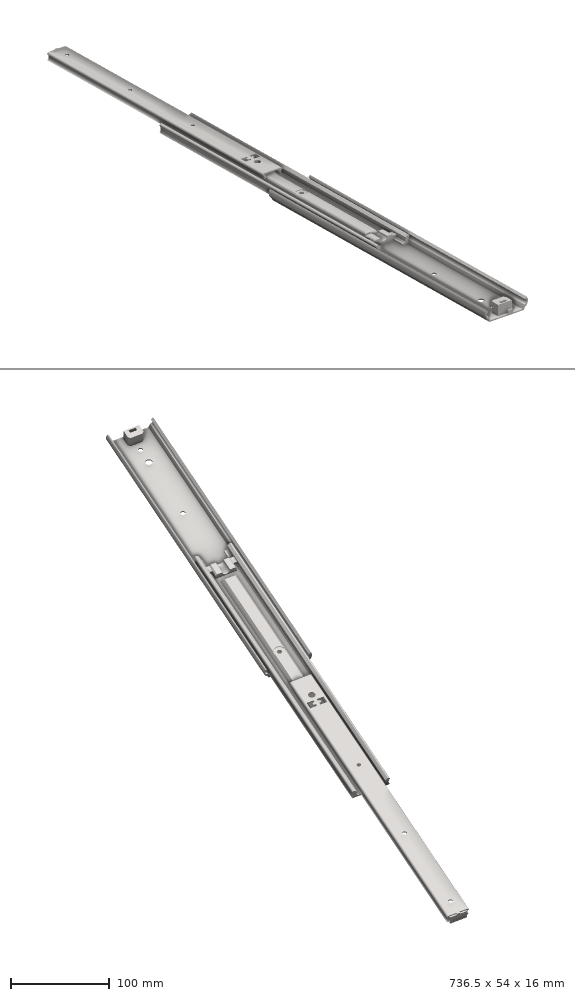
import cadquery as cq
import math

RAIL_LENGTH = 353.5
INNER_START = 1.5
MIDDLE_START = 196.0
OUTER_START = 381.5
OVERALL_LENGTH = 736.5
SHEET = 1.5

OUTER_END = OUTER_START + RAIL_LENGTH
OUTER_HALF_WIDTH = 27.0
OUTER_WEB_HALF = 22.0
OUTER_TOP = 14.0
OUTER_RACE_MID_Z = 9.0
OUTER_LIP_Y = 23.5
OUTER_LIP_Z = 12.0
OUTER_HOLES = [(616.5, 5.0), (693.0, 7.0), (711.5, 5.0)]
NUB_Y = 4.0
NUB_WIDTH = 6.0
NUB_BOTTOM = 1.0
NUB_TOP = 6.5

MIDDLE_BOTTOM = 4.0
MIDDLE_FLOOR = MIDDLE_BOTTOM + SHEET
MIDDLE_TOP = 14.0
MIDDLE_HALF_WIDTH = 21.0
MIDDLE_WALL_INSIDE = 16.0
MIDDLE_RIM_RADIUS = 2.0
MIDDLE_CUTOUT_START = 520.0
MIDDLE_CUTOUT_HALF = 12.5
PLATEAU_HEIGHT = 4.5
PLATEAU_HALF_WIDTH = 9.5
PLATEAU_TOP_HALF_WIDTH = 6.0
PLATEAU_END_GAP = 4.5
PLATEAU_HOLE_X = 401.0
PLATEAU_HOLE_DIAMETER = 5.0
PLATEAU_BORE_DIAMETER = 12.5
PLATEAU_BORE_DEPTH = 1.0

INNER_TOP = 16.0
INNER_BOTTOM = 7.0
INNER_HALF_WIDTH = 12.5
INNER_FLAT_HALF = 10.0
INNER_HOLES = [(18.5, 4.5), (121.0, 4.5), (223.0, 4.5), (328.5, 7.0)]
TAB_HALF_WIDTH = 9.5
TAB_BOTTOM = 5.0
NECK_WIDTH = 4.0
WINDOW_START = 313.0
WINDOW_LENGTH = 8.0
WINDOW_BAR_WIDTH = 9.0
WINDOW_BAR_LENGTH = 3.0

CLIP_LENGTH = 15.0
CLIP_HALF_WIDTH = 12.0
CLIP_TOP = 11.0
CLIP_CHAMFER = 1.5
CLIP_EAR_LENGTH = 7.0
CLIP_EAR_BOTTOM = MIDDLE_FLOOR + SHEET
CLIP_EAR_TOP = 9.5
CLIP_TROUGH_RADIUS = 4.5

BUMPER_START = 720.0
BUMPER_LENGTH = 12.0
BUMPER_WIDTH = 18.0
BUMPER_HEIGHT = 12.5
BUMPER_CHAMFER = 2.0
BUMPER_POCKET_LENGTH = 4.0
BUMPER_POCKET_WIDTH = 8.0
BUMPER_POCKET_DEPTH = 6.0
BUMPER_POCKET_WALL = 1.5


def box(x_range, y_range, z_range):
    """Box between pairs of X, Y and Z limits."""
    size = [high - low for low, high in (x_range, y_range, z_range)]
    corner = (x_range[0], y_range[0], z_range[0])
    return cq.Workplane("XY").box(*size, centered=False).translate(corner)


def rail(half_outline, start, length):
    """Extrude half a rail section along X and mirror it across Y = 0."""
    half = half_outline.close().extrude(length).translate((start, 0, 0))
    return half.mirror("XZ", union=True)


def drill(body, x, diameter, top, depth):
    """Cut a vertical round hole on the centre line, downward from a height."""
    drill_bit = cq.Workplane("XY", origin=(x, 0, top)).circle(diameter / 2).extrude(-depth)
    return body.cut(drill_bit)


def make_outer_rail():
    crease_y = OUTER_WEB_HALF + SHEET
    crease_z = 2 * SHEET
    race_bottom_z = 2 * OUTER_RACE_MID_Z - OUTER_LIP_Z
    crest_y = OUTER_HALF_WIDTH - SHEET
    outline = (
        cq.Workplane("YZ")
        .lineTo(OUTER_WEB_HALF, 0)
        .lineTo(crease_y, crease_z)
        .threePointArc((OUTER_HALF_WIDTH, OUTER_RACE_MID_Z), (crest_y, OUTER_TOP))
        .lineTo(OUTER_LIP_Y, OUTER_LIP_Z)
        .threePointArc((crest_y, OUTER_RACE_MID_Z), (OUTER_LIP_Y - SHEET / 2, race_bottom_z))
        .lineTo(OUTER_WEB_HALF - SHEET, SHEET)
        .lineTo(0, SHEET)
    )
    body = rail(outline, OUTER_START, RAIL_LENGTH)
    for x, diameter in OUTER_HOLES:
        body = drill(body, x, diameter, SHEET, SHEET)
    nub_y_range = (NUB_Y - NUB_WIDTH / 2, NUB_Y + NUB_WIDTH / 2)
    return body.union(box((OUTER_END, OVERALL_LENGTH), nub_y_range, (NUB_BOTTOM, NUB_TOP)))


def plateau_block(base_z):
    """Raised block with sloping sides that stands on a height."""
    slope_run = PLATEAU_HALF_WIDTH - PLATEAU_TOP_HALF_WIDTH
    taper = math.degrees(math.atan2(slope_run, PLATEAU_HEIGHT))
    start = MIDDLE_START + PLATEAU_END_GAP
    end = MIDDLE_CUTOUT_START - PLATEAU_END_GAP
    return (
        cq.Workplane("XY", origin=((start + end) / 2, 0, base_z))
        .rect(end - start, 2 * PLATEAU_HALF_WIDTH)
        .extrude(PLATEAU_HEIGHT, taper=taper)
    )


def make_middle_rail():
    groove_y = MIDDLE_HALF_WIDTH - SHEET
    rim_bend = MIDDLE_RIM_RADIUS * math.sqrt(0.5)
    rim_y = MIDDLE_HALF_WIDTH - MIDDLE_RIM_RADIUS
    rim_z = MIDDLE_TOP - MIDDLE_RIM_RADIUS
    groove_mid_z = (rim_z + MIDDLE_BOTTOM) / 2
    outline = (
        cq.Workplane("YZ")
        .moveTo(0, MIDDLE_BOTTOM)
        .lineTo(MIDDLE_HALF_WIDTH, MIDDLE_BOTTOM)
        .threePointArc((groove_y, groove_mid_z), (MIDDLE_HALF_WIDTH, rim_z))
        .threePointArc((rim_y + rim_bend, rim_z + rim_bend), (rim_y, MIDDLE_TOP))
        .lineTo(MIDDLE_WALL_INSIDE, rim_z)
        .lineTo(MIDDLE_WALL_INSIDE, MIDDLE_FLOOR + SHEET)
        .lineTo(MIDDLE_WALL_INSIDE - SHEET, MIDDLE_FLOOR)
        .lineTo(0, MIDDLE_FLOOR)
    )
    body = rail(outline, MIDDLE_START, RAIL_LENGTH)
    body = body.union(plateau_block(MIDDLE_FLOOR)).cut(plateau_block(MIDDLE_BOTTOM))
    plateau_top = MIDDLE_FLOOR + PLATEAU_HEIGHT
    body = drill(body, PLATEAU_HOLE_X, PLATEAU_HOLE_DIAMETER, plateau_top, SHEET)
    body = drill(body, PLATEAU_HOLE_X, PLATEAU_BORE_DIAMETER, plateau_top, PLATEAU_BORE_DEPTH)
    cutout = box(
        (MIDDLE_CUTOUT_START, MIDDLE_START + RAIL_LENGTH),
        (-MIDDLE_CUTOUT_HALF, MIDDLE_CUTOUT_HALF),
        (MIDDLE_BOTTOM, MIDDLE_FLOOR),
    )
    return body.cut(cutout)


def make_inner_rail():
    shoulder = INNER_HALF_WIDTH - INNER_FLAT_HALF
    bend = shoulder * math.sqrt(0.5)
    race_top_z = INNER_TOP - shoulder
    race_mid_z = (race_top_z + INNER_BOTTOM) / 2
    race_y = INNER_FLAT_HALF
    outline = (
        cq.Workplane("YZ")
        .moveTo(0, INNER_TOP)
        .lineTo(INNER_FLAT_HALF, INNER_TOP)
        .threePointArc((INNER_FLAT_HALF + bend, race_top_z + bend), (INNER_HALF_WIDTH, race_top_z))
        .threePointArc((race_y, race_mid_z), (INNER_HALF_WIDTH, INNER_BOTTOM))
        .lineTo(INNER_HALF_WIDTH - SHEET, INNER_BOTTOM)
        .threePointArc((race_y - SHEET, race_mid_z), (race_y, INNER_TOP - SHEET))
        .lineTo(0, INNER_TOP - SHEET)
    )
    body = rail(outline, INNER_START, RAIL_LENGTH - INNER_START)
    for x, diameter in INNER_HOLES:
        body = drill(body, x, diameter, INNER_TOP, SHEET)
    web_z = (INNER_TOP - SHEET, INNER_TOP)
    neck_y = (-NECK_WIDTH / 2, NECK_WIDTH / 2)

    tab_y = (-TAB_HALF_WIDTH, TAB_HALF_WIDTH)
    body = body.union(box((0, INNER_START), tab_y, (TAB_BOTTOM, INNER_TOP - SHEET)))
    body = body.union(box((0, INNER_START), neck_y, web_z))

    window_x = (WINDOW_START, WINDOW_START + WINDOW_LENGTH)
    bar_start = WINDOW_START + (WINDOW_LENGTH - WINDOW_BAR_LENGTH) / 2
    bar_x = (bar_start, bar_start + WINDOW_BAR_LENGTH)
    bar_y = (-WINDOW_BAR_WIDTH / 2, WINDOW_BAR_WIDTH / 2)
    body = body.cut(box(window_x, tab_y, web_z))
    return body.union(box(window_x, neck_y, web_z)).union(box(bar_x, bar_y, web_z))


def make_clip():
    end = MIDDLE_CUTOUT_START + CLIP_LENGTH
    clip_x = (MIDDLE_CUTOUT_START, end)
    body = box(clip_x, (-CLIP_HALF_WIDTH, CLIP_HALF_WIDTH), (MIDDLE_BOTTOM, CLIP_TOP))
    body = body.edges("|X and >Z").chamfer(CLIP_CHAMFER)
    ears = box(
        (end - CLIP_EAR_LENGTH, end),
        (-MIDDLE_WALL_INSIDE, MIDDLE_WALL_INSIDE),
        (CLIP_EAR_BOTTOM, CLIP_EAR_TOP),
    )
    trough = (
        cq.Workplane("YZ", origin=(MIDDLE_CUTOUT_START, 0, CLIP_TOP))
        .circle(CLIP_TROUGH_RADIUS)
        .extrude(CLIP_LENGTH)
    )
    return body.union(ears).cut(trough)


def make_bumper():
    end = BUMPER_START + BUMPER_LENGTH
    half_width = BUMPER_WIDTH / 2
    top = SHEET + BUMPER_HEIGHT
    body = box((BUMPER_START, end), (-half_width, half_width), (SHEET, top))
    body = body.edges("|Z and <X").chamfer(BUMPER_CHAMFER)
    pocket_end = end - BUMPER_POCKET_WALL
    pocket = box(
        (pocket_end - BUMPER_POCKET_LENGTH, pocket_end),
        (-BUMPER_POCKET_WIDTH / 2, BUMPER_POCKET_WIDTH / 2),
        (top - BUMPER_POCKET_DEPTH, top),
    )
    return body.cut(pocket)


outer_rail = make_outer_rail()
middle_rail = make_middle_rail()
inner_rail = make_inner_rail()
clip = make_clip()
bumper = make_bumper()

result = cq.Compound.makeCompound(
    [outer_rail.val(), middle_rail.val(), inner_rail.val(), clip.val(), bumper.val()]
)